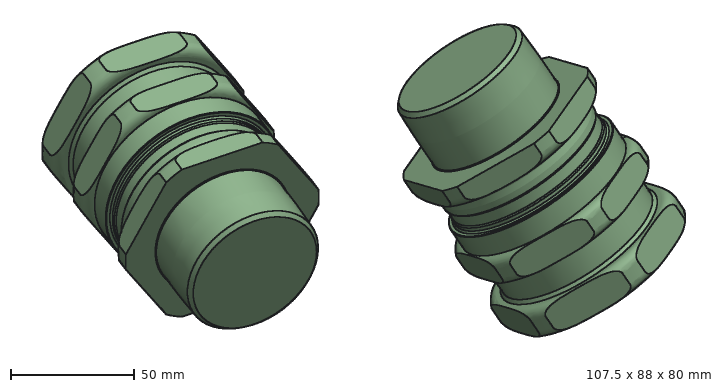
import cadquery as cq
import math


cap_end = 14.1
seal_end = 15.6
sleeve_end = 28.3
middle_nut_end = 41.1
collar_end = 51.2
entry_hex_start = 68.0
entry_hex_end = 78.2
overall_length = 107.53

across_flats = 80.0
across_rounded_corners = 88.0
cap_corner_round = 4.2
middle_corner_round = 4.0
entry_corner_round = 4.9

sleeve_diameter = 72.3
seal_large_diameter = 75.0
collar_diameter = 78.6
collar_chamfer = 0.3

neck_diameter = 73.32
groove_depth = 0.5
groove_floor_radius = neck_diameter / 2 - groove_depth
neck_root_chamfer = 0.8
groove_start = 53.6
groove_end = 60.0
groove_wall_run = 0.7
neck_taper_start = 63.0
neck_fillet = 2.2

thread_diameter = 60.33
taper_start = 92.85
taper_per_length = 1 / 16
thread_root_chamfer = 0.35
tip_diameter = 56.1
tip_chamfer_length = 1.85


def revolve_about_x(profile):
    """Turn a closed profile, drawn with X along the axis and Y as the radius, into a solid."""
    return profile.close().revolve(360, (0, 0, 0), (1, 0, 0))


def tapered_disc(start, end, start_diameter, end_diameter):
    profile = (
        cq.Workplane("XY")
        .moveTo(start, 0)
        .lineTo(start, start_diameter / 2)
        .lineTo(end, end_diameter / 2)
        .lineTo(end, 0)
    )
    return revolve_about_x(profile)


def hexagon(start, end, corner_round, round_both_ends):
    """Hexagon with flats facing +Z and -Z, corners turned round, and its -X or both ends rounded."""
    corner_diameter = across_flats / math.cos(math.pi / 6)
    prism = (
        cq.Workplane("YZ")
        .workplane(offset=start)
        .polygon(6, corner_diameter)
        .extrude(end - start)
    )
    envelope = tapered_disc(start, end, across_rounded_corners, across_rounded_corners)
    envelope = envelope.faces("<X").edges().fillet(corner_round)
    if round_both_ends:
        envelope = envelope.faces(">X").edges().fillet(corner_round)
    return prism.intersect(envelope)


def entry_neck():
    """Grooved neck that flares into the entry hexagon."""
    neck_radius = neck_diameter / 2
    arc_offset = neck_fillet * math.sqrt(0.5)
    fillet_start = entry_hex_start - neck_fillet
    fillet_centre_radius = groove_floor_radius + neck_fillet
    profile = (
        cq.Workplane("XY")
        .moveTo(collar_end, 0)
        .lineTo(collar_end, neck_radius + neck_root_chamfer)
        .lineTo(collar_end + neck_root_chamfer, neck_radius)
        .lineTo(groove_start, neck_radius)
        .lineTo(groove_start + groove_wall_run, groove_floor_radius)
        .lineTo(groove_end - groove_wall_run, groove_floor_radius)
        .lineTo(groove_end, neck_radius)
        .lineTo(neck_taper_start, neck_radius)
        .lineTo(fillet_start, groove_floor_radius)
        .threePointArc(
            (fillet_start + arc_offset, fillet_centre_radius - arc_offset),
            (entry_hex_start, fillet_centre_radius),
        )
        .lineTo(entry_hex_start, 0)
    )
    return revolve_about_x(profile)


def entry_thread():
    """Plain cylinder, then a pipe taper, then the chamfered tip."""
    thread_radius = thread_diameter / 2
    taper_end = overall_length - tip_chamfer_length
    taper_end_radius = thread_radius - (taper_end - taper_start) * taper_per_length / 2
    profile = (
        cq.Workplane("XY")
        .moveTo(entry_hex_end, 0)
        .lineTo(entry_hex_end, thread_radius + thread_root_chamfer)
        .lineTo(entry_hex_end + thread_root_chamfer, thread_radius)
        .lineTo(taper_start, thread_radius)
        .lineTo(taper_end, taper_end_radius)
        .lineTo(overall_length, tip_diameter / 2)
        .lineTo(overall_length, 0)
    )
    return revolve_about_x(profile)


cap_nut = hexagon(0, cap_end, cap_corner_round, round_both_ends=True)

seal = tapered_disc(cap_end, seal_end, seal_large_diameter, sleeve_diameter)

sleeve = tapered_disc(seal_end, sleeve_end, sleeve_diameter, sleeve_diameter)

middle_nut = hexagon(sleeve_end, middle_nut_end, middle_corner_round, round_both_ends=True)

collar = tapered_disc(middle_nut_end, collar_end, collar_diameter, collar_diameter)
collar = collar.faces(">X").edges().chamfer(collar_chamfer)

entry_hex = hexagon(entry_hex_start, entry_hex_end, entry_corner_round, round_both_ends=False)
entry_body = entry_neck().union(entry_hex).union(entry_thread())

result = cq.Compound.makeCompound(
    [
        cap_nut.val(),
        seal.val(),
        sleeve.val(),
        middle_nut.val(),
        collar.val(),
        entry_body.val(),
    ]
)